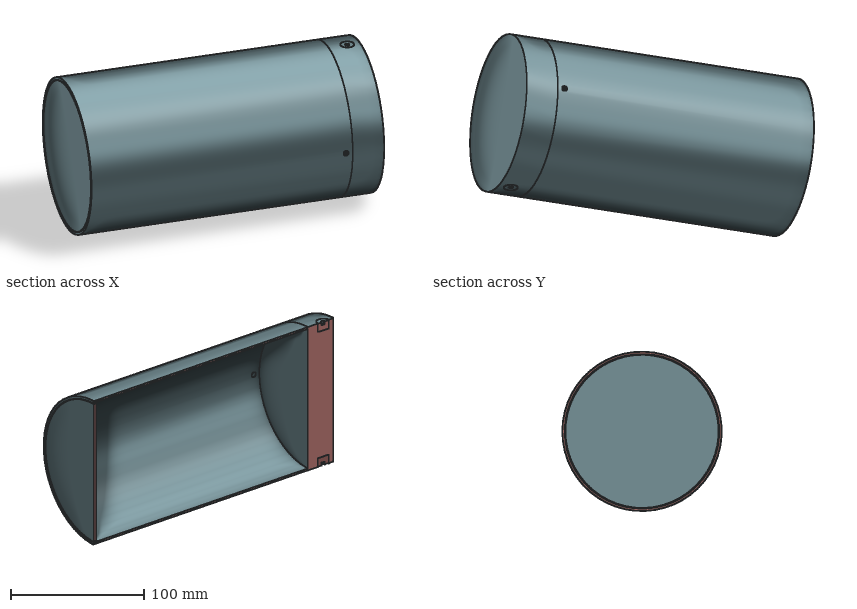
import cadquery as cq

TOTAL_LENGTH = 231.0
OUTER_DIAMETER = 120.0
WALL = 2.0

CAP_LENGTH = 25.0
GLASS_THICKNESS = 3.0
SEAL_WIDTH = 0.5

CAP_SCREW_DIAMETER = 10.5
CAP_SCREW_LENGTH = 7.0
CAP_SCREW_SOCKET = 3.0
CAP_SCREW_SOCKET_DEPTH = 2.3
CAP_SCREW_SINK = 0.2
CAP_SCREW_OFFSET = 10.0

TUBE_SCREW_DIAMETER = 4.0
TUBE_SCREW_SOCKET = 1.8
TUBE_SCREW_SOCKET_DEPTH = 1.2
TUBE_SCREW_PROUD = 0.2
TUBE_SCREW_OFFSET = 5.3

outer_radius = OUTER_DIAMETER / 2
bore_radius = outer_radius - WALL
glass_radius = bore_radius - SEAL_WIDTH
front_y = -TOTAL_LENGTH / 2
back_y = TOTAL_LENGTH / 2
joint_y = back_y - CAP_LENGTH
tube_length = joint_y - front_y
cap_screw_y = back_y - CAP_SCREW_OFFSET
tube_screw_y = joint_y - TUBE_SCREW_OFFSET
cap_screw_face = outer_radius - CAP_SCREW_SINK
tube_screw_face = outer_radius + TUBE_SCREW_PROUD
SIDES = (1, -1)


def disc(radius, start_y, length):
    """Round bar on the Y axis, from start_y towards +Y."""
    return cq.Workplane("XZ", origin=(0, start_y, 0)).circle(radius).extrude(-length)


def radial_plane(direction, y, distance):
    """Workplane facing outward along `direction`, at a distance from the axis."""
    origin = (direction[0] * distance, y, direction[2] * distance)
    return cq.Workplane(cq.Plane(origin=origin, xDir=(0, 1, 0), normal=direction))


def radial_hole(direction, y, diameter, floor):
    """Cutter from a floor distance out past the housing surface."""
    return radial_plane(direction, y, floor).circle(diameter / 2).extrude(outer_radius)


def socket_screw(direction, y, face, diameter, length, socket, socket_depth):
    """Headless screw with a hexagon socket in its outer end face."""
    plane = radial_plane(direction, y, face)
    blank = plane.circle(diameter / 2).extrude(-length)
    return blank.cut(plane.polygon(6, socket, circumscribed=True).extrude(-socket_depth))


def make_tube():
    """Open tube with a cross hole for the two small side screws."""
    tube = disc(outer_radius, front_y, tube_length)
    tube = tube.cut(disc(bore_radius, front_y, tube_length))
    for side in SIDES:
        tube = tube.cut(radial_hole((side, 0, 0), tube_screw_y, TUBE_SCREW_DIAMETER, 0))
    return tube


def make_cap():
    """Solid back cap with blind holes for the top and bottom screws."""
    cap = disc(outer_radius, joint_y, CAP_LENGTH)
    floor = cap_screw_face - CAP_SCREW_LENGTH
    for side in SIDES:
        cap = cap.cut(radial_hole((0, 0, side), cap_screw_y, CAP_SCREW_DIAMETER, floor))
    return cap


def make_glass():
    """Front disc, flush with the front end of the tube."""
    return disc(glass_radius, front_y, GLASS_THICKNESS)


def make_seal():
    """Thin ring that fills the space between the glass and the tube."""
    ring = disc(bore_radius, front_y, GLASS_THICKNESS)
    return ring.cut(disc(glass_radius, front_y, GLASS_THICKNESS))


cap_screws = [
    socket_screw((0, 0, side), cap_screw_y, cap_screw_face, CAP_SCREW_DIAMETER, CAP_SCREW_LENGTH,
                 CAP_SCREW_SOCKET, CAP_SCREW_SOCKET_DEPTH)
    for side in SIDES
]
tube_screws = [
    socket_screw((side, 0, 0), tube_screw_y, tube_screw_face, TUBE_SCREW_DIAMETER, WALL + TUBE_SCREW_PROUD,
                 TUBE_SCREW_SOCKET, TUBE_SCREW_SOCKET_DEPTH)
    for side in SIDES
]

result = cq.Compound.makeCompound([
    make_tube().val(),
    make_cap().val(),
    make_glass().val(),
    make_seal().val(),
    *[screw.val() for screw in cap_screws],
    *[screw.val() for screw in tube_screws],
])